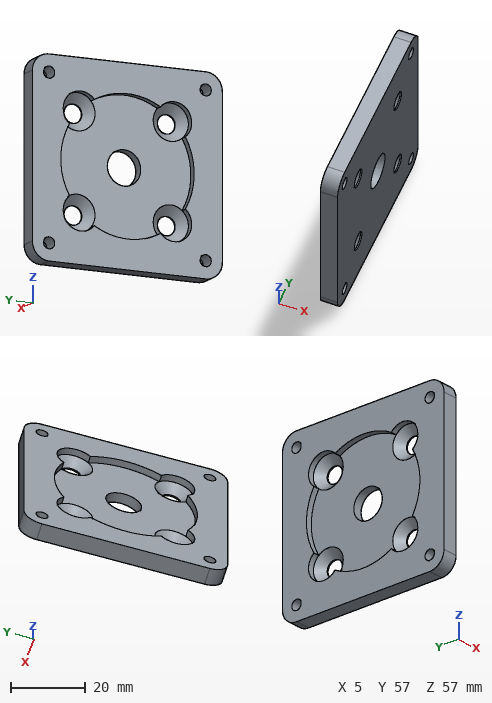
import cadquery as cq

side = 57.0
thickness = 5.0
corner_radius = 5.0

center_bore_diameter = 10.0
recess_diameter = 40.0
recess_depth = 2.0
corner_hole_diameter = 3.3
corner_hole_spacing = side - 2 * corner_radius
screw_hole_diameter = 5.3
screw_head_diameter = 10.55
screw_spacing = 28.0
countersink_depth = (screw_head_diameter - screw_hole_diameter) / 2

face_x = -thickness / 2


def cylinder(diameter, depth, y=0.0, z=0.0):
    """Cylinder sunk from the worked face along +X."""
    return cq.Workplane("YZ", origin=(face_x, y, z)).circle(diameter / 2).extrude(depth)


def square_pattern(spacing):
    """Centres of four holes on a square, as (y, z)."""
    half = spacing / 2
    return [(y, z) for y in (-half, half) for z in (-half, half)]


def countersink(y, z):
    """Cone narrowing from the recess floor to the screw hole."""
    cone = cq.Solid.makeCone(
        screw_head_diameter / 2,
        screw_hole_diameter / 2,
        countersink_depth,
        pnt=cq.Vector(face_x + recess_depth, y, z),
        dir=cq.Vector(1, 0, 0),
    )
    return cq.Workplane(cone)


plate = cq.Workplane("XY").box(thickness, side, side).edges("|X").fillet(corner_radius)

plate = plate.cut(cylinder(recess_diameter, recess_depth))
plate = plate.cut(cylinder(center_bore_diameter, thickness))

for y, z in square_pattern(corner_hole_spacing):
    plate = plate.cut(cylinder(corner_hole_diameter, thickness, y, z))

for y, z in square_pattern(screw_spacing):
    plate = plate.cut(cylinder(screw_hole_diameter, thickness, y, z))
    plate = plate.cut(cylinder(screw_head_diameter, recess_depth, y, z))
    plate = plate.cut(countersink(y, z))

result = plate